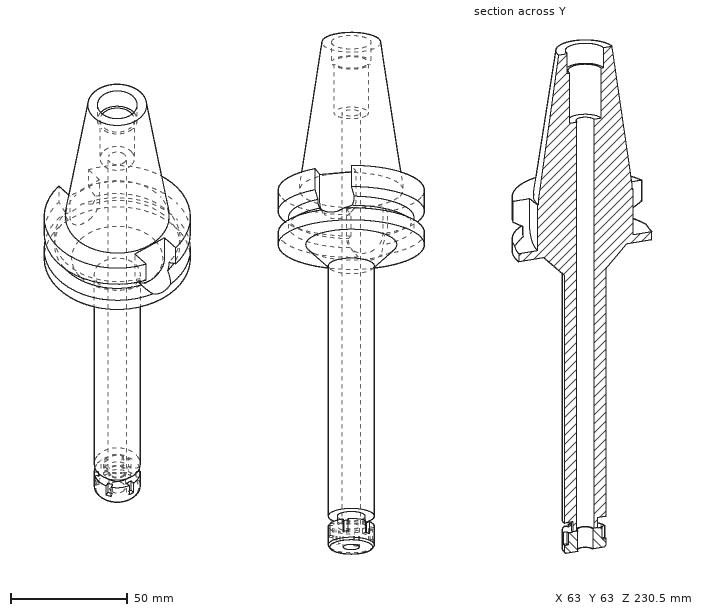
import cadquery as cq

TOTAL_LENGTH = 230.5
TAPER_LENGTH = 65.5
COLLAR_LENGTH = 2.0
FLANGE_WIDTH = 24.9
UPPER_RIM_WIDTH = 9.7
LOWER_RIM_WIDTH = 5.5
GROOVE_BEVEL_HEIGHT = 2.8
CONE_HEIGHT = 9.7
NECK_LENGTH = 4.5
NUT_HEIGHT = 9.5

TAPER_TOP_RADIUS = 12.7
TAPER_BASE_RADIUS = 44.5 / 2
FLANGE_RADIUS = 63.0 / 2
GROOVE_RADIUS = 27.0
CONE_TOP_RADIUS = 19.5
SHANK_RADIUS = 10.0
NECK_RADIUS = 6.0

MOUTH_RADIUS = 8.5
MOUTH_DEPTH = 9.2
THREAD_RADIUS = 7.4
THREAD_DEPTH = 32.3
THROUGH_RADIUS = 4.0
NUT_BORE_RADIUS = 3.5

DRIVE_SLOT_WIDTH = 16.1
DRIVE_SLOT_FLOOR = 22.5
DRIVE_SLOT_DEPTH = 21.0

NUT_RADIUS = SHANK_RADIUS
NUT_CHAMFER_HEIGHT = 1.0
NUT_CHAMFER_INSET = 0.7
WRENCH_SLOT_COUNT = 6
WRENCH_SLOT_WIDTH = 2.3
WRENCH_SLOT_LENGTH = 5.5
WRENCH_SLOT_DEPTH = 1.8

taper_base_z = TOTAL_LENGTH - TAPER_LENGTH
flange_top_z = taper_base_z - COLLAR_LENGTH
flange_bottom_z = flange_top_z - FLANGE_WIDTH
upper_rim_z = flange_top_z - UPPER_RIM_WIDTH
lower_rim_z = flange_bottom_z + LOWER_RIM_WIDTH
cone_bottom_z = flange_bottom_z - CONE_HEIGHT
shank_bottom_z = NUT_HEIGHT + NECK_LENGTH


def axial_cylinder(radius, bottom_z, top_z):
    """Solid cylinder on the Z axis between two levels."""
    return cq.Workplane("XY").workplane(offset=bottom_z).circle(radius).extrude(top_z - bottom_z)


def revolve_profile(points):
    """Turn a closed outline of (radius, Z) points about the Z axis."""
    return cq.Workplane("XZ").polyline(points).close().revolve(360, (0, 0), (0, 1))


def revolved_holder():
    """Taper, grooved flange, cone, shank and neck as one turned solid."""
    profile = [
        (0, TOTAL_LENGTH),
        (TAPER_TOP_RADIUS, TOTAL_LENGTH),
        (TAPER_BASE_RADIUS, taper_base_z),
        (TAPER_BASE_RADIUS, flange_top_z),
        (FLANGE_RADIUS, flange_top_z),
        (FLANGE_RADIUS, upper_rim_z),
        (GROOVE_RADIUS, upper_rim_z - GROOVE_BEVEL_HEIGHT),
        (GROOVE_RADIUS, lower_rim_z + GROOVE_BEVEL_HEIGHT),
        (FLANGE_RADIUS, lower_rim_z),
        (FLANGE_RADIUS, flange_bottom_z),
        (CONE_TOP_RADIUS, flange_bottom_z),
        (SHANK_RADIUS, cone_bottom_z),
        (SHANK_RADIUS, shank_bottom_z),
        (NECK_RADIUS, shank_bottom_z),
        (NECK_RADIUS, NUT_HEIGHT),
        (0, NUT_HEIGHT),
    ]
    return revolve_profile(profile)


def stepped_bore():
    """Wide mouth, thread hole and through hole, all opening at the taper end."""
    mouth = axial_cylinder(MOUTH_RADIUS, TOTAL_LENGTH - MOUTH_DEPTH, TOTAL_LENGTH)
    thread = axial_cylinder(THREAD_RADIUS, TOTAL_LENGTH - THREAD_DEPTH, TOTAL_LENGTH)
    through = axial_cylinder(THROUGH_RADIUS, NUT_HEIGHT, TOTAL_LENGTH)
    return mouth.union(thread).union(through)


def drive_slot(angle):
    """Cutter for a slot open at the flange top, with a round lower end."""
    half_width = DRIVE_SLOT_WIDTH / 2
    slot_bottom_z = flange_top_z - DRIVE_SLOT_DEPTH
    arc_start_z = slot_bottom_z + half_width
    return (
        cq.Workplane("YZ")
        .workplane(offset=DRIVE_SLOT_FLOOR)
        .moveTo(-half_width, flange_top_z)
        .lineTo(-half_width, arc_start_z)
        .threePointArc((0, slot_bottom_z), (half_width, arc_start_z))
        .lineTo(half_width, flange_top_z)
        .close()
        .extrude(FLANGE_RADIUS - DRIVE_SLOT_FLOOR)
        .rotate((0, 0, 0), (0, 0, 1), angle)
    )


def make_holder():
    holder = revolved_holder().cut(stepped_bore())
    for angle in (0, 180):
        holder = holder.cut(drive_slot(angle))
    return holder


def wrench_slot(angle):
    """Cutter for a slot in the nut's side, open at the nut's upper face."""
    return (
        cq.Workplane("XY")
        .box(WRENCH_SLOT_DEPTH, WRENCH_SLOT_WIDTH, WRENCH_SLOT_LENGTH, centered=(False, True, False))
        .translate((NUT_RADIUS - WRENCH_SLOT_DEPTH, 0, NUT_HEIGHT - WRENCH_SLOT_LENGTH))
        .rotate((0, 0, 0), (0, 0, 1), angle)
    )


def make_nut():
    profile = [
        (0, 0),
        (NUT_RADIUS - NUT_CHAMFER_INSET, 0),
        (NUT_RADIUS, NUT_CHAMFER_HEIGHT),
        (NUT_RADIUS, NUT_HEIGHT),
        (0, NUT_HEIGHT),
    ]
    nut = revolve_profile(profile)
    nut = nut.cut(axial_cylinder(NUT_BORE_RADIUS, 0, NUT_HEIGHT))
    for i in range(WRENCH_SLOT_COUNT):
        nut = nut.cut(wrench_slot(i * 360 / WRENCH_SLOT_COUNT))
    return nut


holder = make_holder()
nut = make_nut()
result = cq.Compound.makeCompound([holder.val(), nut.val()])